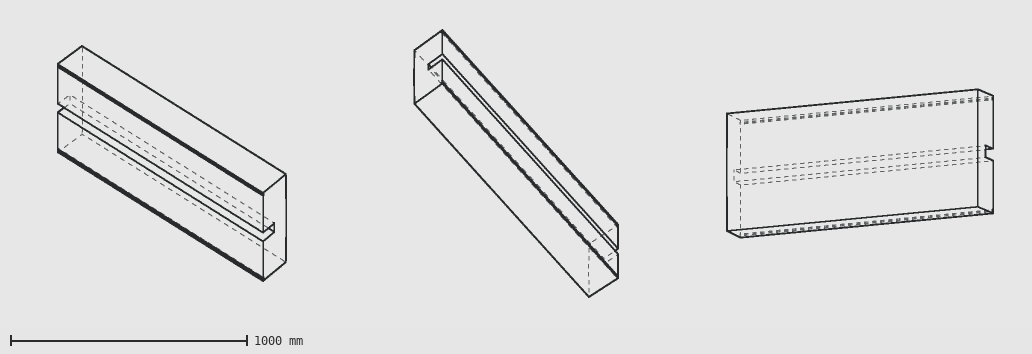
import cadquery as cq
import math

span_x = 1181.38
span_y = 222.14
height = 508.0
body_depth = 152.4
ridge_rise = 3.175
right_end_lean = 0.2
slot_height = 50.8
slot_depth = 76.2
lip_height = 9.525
groove_height = 6.35
groove_depth = 6.35
solver_steps = 20

full_depth = body_depth + ridge_rise
half_height = height / 2
front_x = span_x - right_end_lean
groove_z = half_height - lip_height - groove_height / 2


def tilt_filling_depth():
    """Solve the tilt equation by fixed-point iteration."""
    tilt = 0.0
    for _ in range(solver_steps):
        tilt = math.atan((span_y - full_depth * math.cos(tilt)) / front_x)
    return tilt


tilt = tilt_filling_depth()
bar_length = span_x / math.cos(tilt) + full_depth * math.tan(tilt)


def ridged_bar():
    """Overlong bar along X with its front face at Y = 0 and a shallow V-shaped back."""
    profile = [
        (0, -half_height),
        (body_depth, -half_height),
        (full_depth, 0),
        (body_depth, half_height),
        (0, half_height),
    ]
    return cq.Workplane("YZ").polyline(profile).close().extrude(bar_length)


def front_channel(center_z, channel_height, channel_depth):
    """Cutter for a straight channel running the whole length of the front face."""
    return (
        cq.Workplane("XY")
        .box(bar_length, 2 * channel_depth, channel_height, centered=(False, True, True))
        .translate((0, 0, center_z))
    )


def right_end_cutter():
    """Block beyond the right end plane, in the tilted position."""
    front_y = -front_x * math.tan(tilt)
    ridge_y = full_depth / math.cos(tilt) - span_x * math.tan(tilt)
    lean_per_y = right_end_lean / (ridge_y - front_y)
    low_y = front_y - full_depth
    high_y = ridge_y + full_depth
    far_x = span_x + full_depth
    outline = [
        (front_x + lean_per_y * (low_y - front_y), low_y),
        (far_x, low_y),
        (far_x, high_y),
        (front_x + lean_per_y * (high_y - front_y), high_y),
    ]
    return (
        cq.Workplane("XY", origin=(0, 0, -half_height))
        .polyline(outline)
        .close()
        .extrude(height)
    )


bar = ridged_bar().cut(front_channel(0, slot_height, slot_depth))
for side in (-1, 1):
    bar = bar.cut(front_channel(side * groove_z, groove_height, groove_depth))

tilted_bar = bar.rotate((0, 0, 0), (0, 0, 1), -math.degrees(tilt))
result = tilted_bar.cut(right_end_cutter())